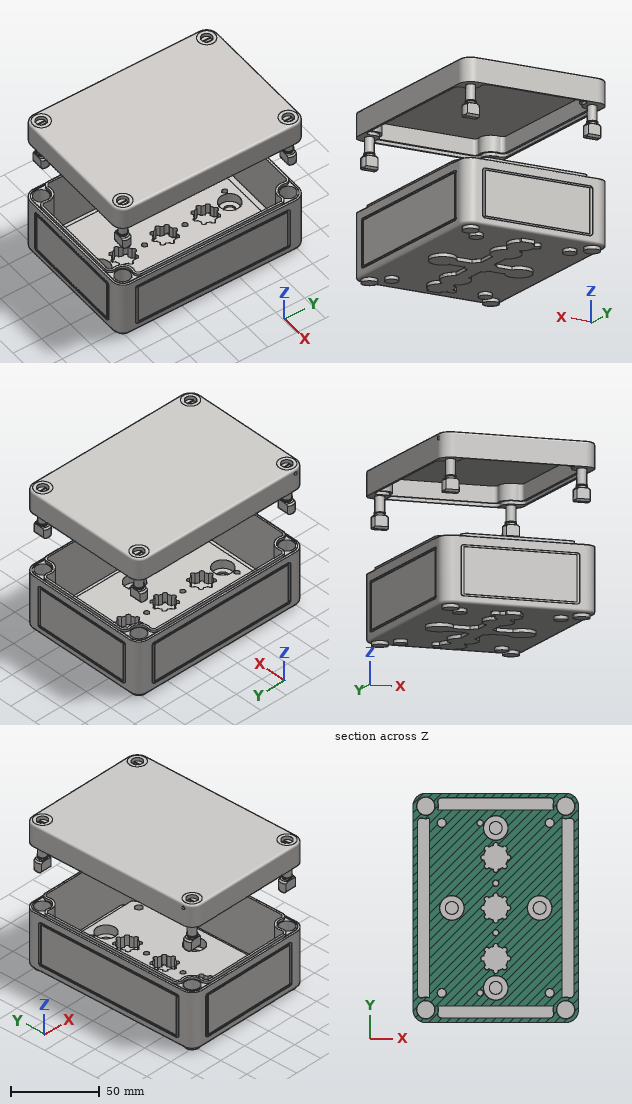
import cadquery as cq
import math

LENGTH = 130.0
WIDTH = 94.0
CORNER_R = 7.4
EDGE_FILLET = 1.5
SCREW_X = WIDTH / 2 - CORNER_R
SCREW_Y = LENGTH / 2 - CORNER_R
SCREW_PLACES = [(sx * SCREW_X, sy * SCREW_Y) for sx in (-1, 1) for sy in (-1, 1)]

FOOT_HEIGHT = 2.1
FLOOR_Z = 4.0
PLATFORM_Z = 9.4
SHOULDER_Z = 41.1
TONGUE_Z = 43.0
LID_BOTTOM_Z = 86.0
LID_TOP_Z = 101.0

TONGUE_INSET = 1.3
TONGUE_WIDTH = 1.4
TONGUE_BOSS_R = 5.7
TONGUE_BEND_R = 3.6
RIM_STEP = 0.4

SCREW_HOLE_R = 5.1
FOOT_R = 4.8
PLATFORM_LENGTH = 111.0
PLATFORM_WIDTH = 75.1
PANEL_SIDE_MARGIN = 11.2
PANEL_BOTTOM_Z = 6.5
PANEL_TOP_Z = 36.0
GROOVE_SIDE = 1.7
GROOVE_EDGE = 1.09
GROOVE_DEPTH = 0.5

WELL_R = 6.9
ROUND_WELL_Z = 3.2
ROUND_WELL_STUB_R = 8.0
ROUND_WELL_X = 24.8
ROUND_WELL_Y = 45.2
ROUND_WELL_PLACES = [
    (0, -ROUND_WELL_Y),
    (0, ROUND_WELL_Y),
    (-ROUND_WELL_X, 0),
    (ROUND_WELL_X, 0),
]
CENTRE_RECESS_R = 3.6
WELL_BOTTOM_Z = 2.0
STAR_WELL_STUB_R = 9.1
STAR_PITCH = 28.6
STAR_PLACES = [(0, i * STAR_PITCH) for i in (-1, 0, 1)]
LOBE_COUNT = 8
LOBE_R = 1.4
LOBE_CIRCLE_R = 7.0
PILOT_R = 1.7
PILOT_STUB_R = 2.6
CENTRE_PILOT_Y = 14.0
OUTER_PILOT_X = -8.8
OUTER_WELL_Y = 48.1
PILOT_PLACES = [
    (x, sy * y) for x, y in ((0, CENTRE_PILOT_Y), (OUTER_PILOT_X, OUTER_WELL_Y)) for sy in (-1, 1)
]
CORNER_WELL_R = 2.5
CORNER_WELL_STUB_R = 4.0
CORNER_WELL_X = 30.5
CORNER_WELL_PLACES = [
    (sx * CORNER_WELL_X, sy * OUTER_WELL_Y) for sx in (-1, 1) for sy in (-1, 1)
]

RIB_WIDTH = 8.6
RIB_LENGTH_Y = 107.9
RIB_LENGTH_X = 2 * ROUND_WELL_X

LID_TOP_THICKNESS = 3.2
VENT_R = 1.0
VENT_DEPTH = 1.3
VENT_DROP = 3.0

HEAD_R = 5.7
HEAD_HEIGHT = 6.5
SOCKET_R = 3.5
SOCKET_DEPTH = 2.3
SLOT_WIDTH = 2.1
SLOT_DEPTH = 0.8
SHAFT_R = 2.9
COLLAR_R = 3.2
COLLAR_BOTTOM_Z = 76.0
COLLAR_HEIGHT = 0.6
NECK_R = 2.7
LATCH_R = 5.0
LATCH_FLAT = 6.0
LATCH_TOP_Z = 74.9
LATCH_BOTTOM_Z = 67.1
LATCH_TOP_CHAMFER = 1.0
LATCH_TIP_CHAMFER = 0.6
LATCH_FLAT_CHAMFER = 1.3


def cylinder(x, y, radius, z_bottom, z_top):
    return cq.Workplane("XY", origin=(x, y, z_bottom)).circle(radius).extrude(z_top - z_bottom)


def rounded_block(inset, z_bottom, z_top):
    """Block with the outer outline moved inwards by the inset."""
    block = cq.Workplane("XY", origin=(0, 0, z_bottom)).rect(WIDTH - 2 * inset, LENGTH - 2 * inset)
    return block.extrude(z_top - z_bottom).edges("|Z").fillet(CORNER_R - inset)


def corner_path(offset):
    """Points around one screw hole, relative to it, with +u and +v pointing out of the box.

    Bend, boss and bend follow each other as tangent arcs; each second point lies inside an arc.
    """
    wall = CORNER_R - TONGUE_INSET - offset
    boss_r = TONGUE_BOSS_R + offset
    bend_r = TONGUE_BEND_R - offset
    bend_v = wall - bend_r
    bend_u = -math.sqrt((boss_r + bend_r) ** 2 - bend_v**2)
    touch = boss_r / (boss_r + bend_r)
    towards_boss = math.atan2(-bend_v, -bend_u)
    middle = (towards_boss + math.pi / 2) / 2
    first = [
        (bend_u, wall),
        (bend_u + bend_r * math.cos(middle), bend_v + bend_r * math.sin(middle)),
        (bend_u * touch, bend_v * touch),
    ]
    boss_middle = (-boss_r * math.sqrt(0.5), -boss_r * math.sqrt(0.5))
    return first + [boss_middle] + [(v, u) for u, v in reversed(first)]


def cavity_block(offset, z_bottom, z_top):
    """Block that follows the tongue's outer face, moved inwards by the offset."""
    outline = cq.Workplane("XY", origin=(0, 0, z_bottom))
    for index, (sx, sy) in enumerate([(1, 1), (1, -1), (-1, -1), (-1, 1)]):
        path = corner_path(offset)
        if index % 2:
            path.reverse()
        points = [(sx * (SCREW_X + u), sy * (SCREW_Y + v)) for u, v in path]
        outline = outline.lineTo(*points[0]) if index else outline.moveTo(*points[0])
        for arc in range(1, len(points), 2):
            outline = outline.threePointArc(points[arc], points[arc + 1])
    return outline.close().extrude(z_top - z_bottom)


def panel_groove(plane, distance, span):
    """Frame-shaped groove around the label panel of one side wall."""
    height = PANEL_TOP_Z - PANEL_BOTTOM_Z
    middle_z = (PANEL_TOP_Z + PANEL_BOTTOM_Z) / 2
    origin = (0, distance, middle_z) if plane == "XZ" else (distance, 0, middle_z)
    sketch = cq.Workplane(plane, origin=origin)
    frame = sketch.rect(span, height).extrude(GROOVE_DEPTH, both=True)
    frame = frame.edges("|Y" if plane == "XZ" else "|X").fillet(GROOVE_SIDE)
    panel = sketch.rect(span - 2 * GROOVE_SIDE, height - 2 * GROOVE_EDGE)
    return frame.cut(panel.extrude(GROOVE_DEPTH, both=True))


def star_well(x, y):
    """Round knock-out with a ring of lobes."""
    well = cylinder(x, y, WELL_R, WELL_BOTTOM_Z, PLATFORM_Z)
    for index in range(LOBE_COUNT):
        angle = 2 * math.pi * index / LOBE_COUNT
        lobe_x = x + LOBE_CIRCLE_R * math.cos(angle)
        lobe_y = y + LOBE_CIRCLE_R * math.sin(angle)
        well = well.union(cylinder(lobe_x, lobe_y, LOBE_R, WELL_BOTTOM_Z, PLATFORM_Z))
    return well


def round_well(x, y):
    """Round knock-out with a smaller recess in its floor."""
    well = cylinder(x, y, WELL_R, ROUND_WELL_Z, PLATFORM_Z)
    return well.union(cylinder(x, y, CENTRE_RECESS_R, WELL_BOTTOM_Z, ROUND_WELL_Z))


def make_base():
    """Open box with a stepped rim, a raised floor platform, wells and stubs below them."""
    base = rounded_block(0, FOOT_HEIGHT, SHOULDER_Z).faces("<Z").edges().fillet(EDGE_FILLET)
    base = base.union(rounded_block(TONGUE_INSET, FLOOR_Z, SHOULDER_Z + RIM_STEP))
    base = base.union(cavity_block(0, FLOOR_Z, TONGUE_Z))
    base = base.cut(cavity_block(TONGUE_WIDTH, FLOOR_Z, TONGUE_Z))

    platform = cq.Workplane("XY", origin=(0, 0, FOOT_HEIGHT)).rect(PLATFORM_WIDTH, PLATFORM_LENGTH)
    base = base.union(platform.extrude(PLATFORM_Z - FOOT_HEIGHT))

    stubs = [
        (SCREW_PLACES, FOOT_R),
        (ROUND_WELL_PLACES, ROUND_WELL_STUB_R),
        (STAR_PLACES, STAR_WELL_STUB_R),
        (PILOT_PLACES, PILOT_STUB_R),
        (CORNER_WELL_PLACES, CORNER_WELL_STUB_R),
    ]
    for places, radius in stubs:
        for x, y in places:
            base = base.union(cylinder(x, y, radius, 0, FLOOR_Z))

    for size_x, size_y in ((RIB_WIDTH, RIB_LENGTH_Y), (RIB_LENGTH_X, RIB_WIDTH)):
        base = base.union(cq.Workplane("XY").rect(size_x, size_y).extrude(FLOOR_Z))

    for x, y in SCREW_PLACES:
        base = base.cut(cylinder(x, y, SCREW_HOLE_R, FLOOR_Z, TONGUE_Z))
    for x, y in ROUND_WELL_PLACES:
        base = base.cut(round_well(x, y))
    for x, y in STAR_PLACES:
        base = base.cut(star_well(x, y))
    for x, y in PILOT_PLACES:
        base = base.cut(cylinder(x, y, PILOT_R, WELL_BOTTOM_Z, PLATFORM_Z))

    for x, y in CORNER_WELL_PLACES:
        base = base.cut(cylinder(x, y, CORNER_WELL_R, WELL_BOTTOM_Z, PLATFORM_Z))

    for side in (-1, 1):
        base = base.cut(panel_groove("XZ", side * LENGTH / 2, WIDTH - 2 * PANEL_SIDE_MARGIN))
        base = base.cut(panel_groove("YZ", side * WIDTH / 2, LENGTH - 2 * PANEL_SIDE_MARGIN))
    return base


def make_lid():
    """Hollow lid with a groove for the tongue and a counterbored hole for each screw."""
    lid = rounded_block(0, LID_BOTTOM_Z, LID_TOP_Z).faces(">Z").edges().fillet(EDGE_FILLET)
    lid = lid.cut(cavity_block(TONGUE_WIDTH, LID_BOTTOM_Z, LID_TOP_Z - LID_TOP_THICKNESS))
    lid = lid.cut(cavity_block(0, LID_BOTTOM_Z, LID_BOTTOM_Z + TONGUE_Z - SHOULDER_Z))
    for x, y in SCREW_PLACES:
        lid = lid.cut(cylinder(x, y, SHAFT_R, LID_BOTTOM_Z, LID_TOP_Z))
        lid = lid.cut(cylinder(x, y, HEAD_R, LID_TOP_Z - HEAD_HEIGHT, LID_TOP_Z))
    vent = cq.Workplane("YZ", origin=(-WIDTH / 2, -SCREW_Y, LID_TOP_Z - VENT_DROP))
    return lid.cut(vent.circle(VENT_R).extrude(VENT_DEPTH))


def make_latch(x, y):
    """Round latch at the screw tip, cut to two flats."""
    latch = cylinder(x, y, LATCH_R, LATCH_BOTTOM_Z, LATCH_TOP_Z)
    latch = latch.faces(">Z").edges().chamfer(LATCH_TOP_CHAMFER)
    latch = latch.faces("<Z").edges().chamfer(LATCH_TIP_CHAMFER)
    bar = cq.Workplane("XY", origin=(x, y, LATCH_BOTTOM_Z)).rect(2 * LATCH_R, LATCH_FLAT)
    bar = bar.extrude(LATCH_TOP_Z - LATCH_BOTTOM_Z)
    return latch.intersect(bar.faces("<Z").edges("|X").chamfer(LATCH_FLAT_CHAMFER))


def make_screw(x, y):
    """Captive screw with a slotted socket head, a shaft with a collar, and a latch at its tip."""
    socket_z = LID_TOP_Z - SOCKET_DEPTH
    screw = cylinder(x, y, HEAD_R, LID_TOP_Z - HEAD_HEIGHT, LID_TOP_Z)
    screw = screw.union(cylinder(x, y, SHAFT_R, COLLAR_BOTTOM_Z, LID_TOP_Z - HEAD_HEIGHT))
    screw = screw.union(cylinder(x, y, COLLAR_R, COLLAR_BOTTOM_Z, COLLAR_BOTTOM_Z + COLLAR_HEIGHT))
    screw = screw.union(cylinder(x, y, NECK_R, LATCH_TOP_Z, COLLAR_BOTTOM_Z))
    screw = screw.union(make_latch(x, y))

    socket = cylinder(x, y, SOCKET_R, socket_z - SLOT_DEPTH, LID_TOP_Z)
    slot = cq.Workplane("XY", origin=(x, y, socket_z - SLOT_DEPTH)).rect(SLOT_WIDTH, 2 * SOCKET_R)
    screw = screw.cut(cylinder(x, y, SOCKET_R, socket_z, LID_TOP_Z))
    return screw.cut(slot.extrude(SLOT_DEPTH).intersect(socket))


base = make_base()
lid = make_lid()
screws = [make_screw(x, y).val() for x, y in SCREW_PLACES]

result = cq.Compound.makeCompound([base.val(), lid.val(), *screws])